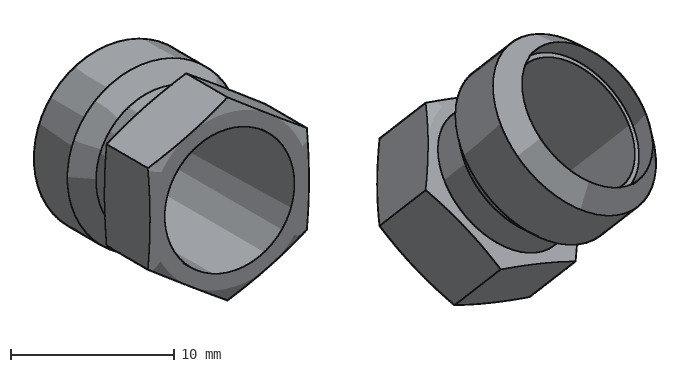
import cadquery as cq
import math

total_length = 13.46
hex_length = 5.09
hex_corner_diameter = 13.49
hex_flat_diameter = hex_corner_diameter * math.cos(math.radians(30))
hex_chamfer_angle = 15.0

collar_radius = 6.35
collar_chamfer = 1.27
collar_length = 6.29
neck_radius = collar_radius - collar_chamfer

bore_radius = 4.76
counterbore_radius = neck_radius
counterbore_depth = 1.35

hex_start = total_length - hex_length


def revolve_about_x(points):
    """Revolve a closed (x, radius) outline about the X axis."""
    return cq.Workplane("XY").polyline(points).close().revolve(360, (0, 0, 0), (1, 0, 0))


def make_collar_and_neck():
    return revolve_about_x([
        (0, 0),
        (0, neck_radius),
        (collar_chamfer, collar_radius),
        (collar_length - collar_chamfer, collar_radius),
        (collar_length, neck_radius),
        (total_length, neck_radius),
        (total_length, 0),
    ])


def make_hexagon():
    """Hexagon with corners on Z, its corners trimmed by a shallow cone at both ends."""
    prism = (
        cq.Workplane("YZ", origin=(hex_start, 0, 0))
        .polygon(6, hex_corner_diameter)
        .extrude(hex_length)
        .rotate((0, 0, 0), (1, 0, 0), 90)
    )
    flat_radius = hex_flat_diameter / 2
    corner_radius = hex_corner_diameter / 2
    corner_setback = (corner_radius - flat_radius) * math.tan(math.radians(hex_chamfer_angle))
    envelope = revolve_about_x([
        (hex_start, 0),
        (hex_start, flat_radius),
        (hex_start + corner_setback, corner_radius),
        (total_length - corner_setback, corner_radius),
        (total_length, flat_radius),
        (total_length, 0),
    ])
    return prism.intersect(envelope)


def make_stepped_bore():
    return revolve_about_x([
        (0, 0),
        (0, counterbore_radius),
        (counterbore_depth, counterbore_radius),
        (counterbore_depth, bore_radius),
        (total_length, bore_radius),
        (total_length, 0),
    ])


result = make_collar_and_neck().union(make_hexagon()).cut(make_stepped_bore())